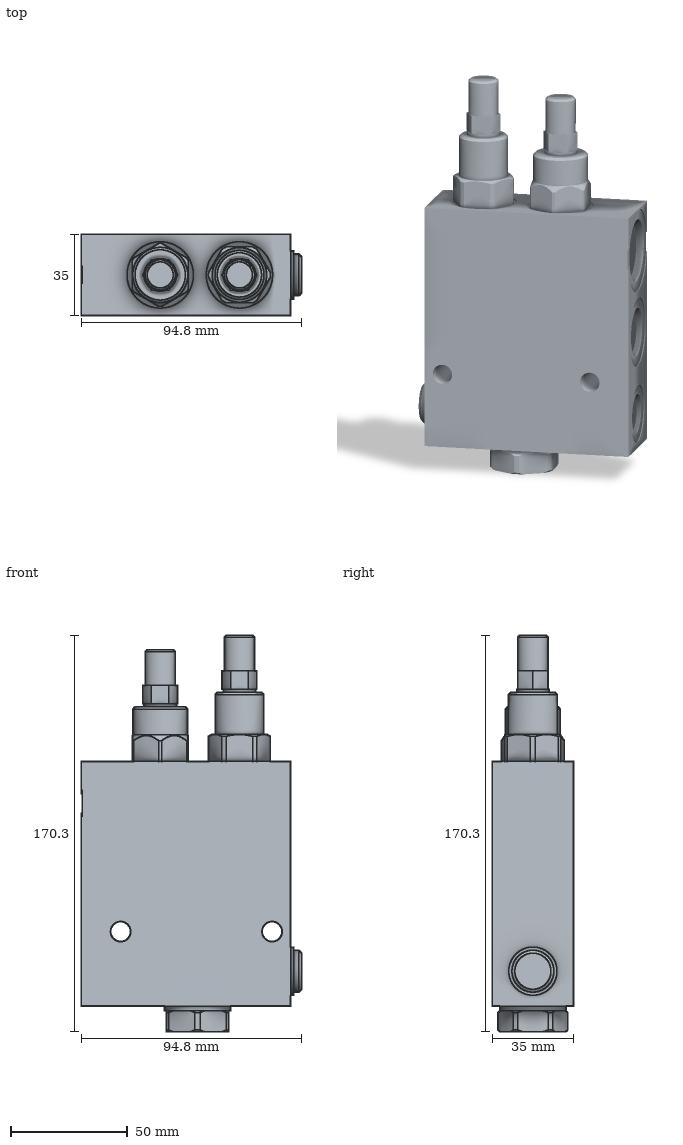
import cadquery as cq
import math

BLOCK_LENGTH = 90
BLOCK_WIDTH = 35
BLOCK_HEIGHT = 105

MOUNT_HOLE_DIAMETER = 8.5
MOUNT_HOLE_XS = (17, 82)
MOUNT_HOLE_Z = 32

PORTS = (
    dict(z=87, spotface=36, mouth=27, floor=24.5, depth=3.6),
    dict(z=51, spotface=30, mouth=21, floor=18.6, depth=2.8),
    dict(z=15, spotface=25, mouth=17, floor=15.1, depth=2.3),
)
SPOTFACE_DEPTH = 0.5

FLATS_FACE_Y = 0
FLATS_FACE_X = 30

CARTRIDGE_SEAT_DIAMETER = 28.5
CARTRIDGE_SEAT_DEPTH = 0.5
CARTRIDGE_HEX_FLATS = 24
NECK_DIAMETER = 14
NECK_HEIGHT = 1.3
LOCKNUT_FLATS = 13
LOCKNUT_HEIGHT = 7.9
STUD_DIAMETER = 13
STUD_CHAMFER = 0.9
BARREL_CHAMFER = 1.0

SHORT_CARTRIDGE = dict(
    x=34, hex_round=27, hex_height=11.4, cone_top=23.6, cone_height=2.5, hex_turn=FLATS_FACE_X,
    barrel=23.6, barrel_top=23.5, height=48,
)
TALL_CARTRIDGE = dict(
    x=68, hex_round=26.6, hex_height=11.7, cone_top=23.4, cone_height=0.9, hex_turn=FLATS_FACE_Y,
    barrel=21, barrel_top=29.7, height=54.25,
)

BOTTOM_PLUG_X = 50
BOTTOM_PLUG_COLLAR_DIAMETER = 28.5
BOTTOM_PLUG_COLLAR_HEIGHT = 2
BOTTOM_PLUG_HEX_FLATS = 27
BOTTOM_PLUG_HEX_ROUND = 30
BOTTOM_PLUG_HEIGHT = 11
BOTTOM_PLUG_CHAMFER = 0.8

SIDE_PLUG_Z = 15
SIDE_PLUG_FLANGE_DIAMETER = 20.7
SIDE_PLUG_FLANGE_HEIGHT = 1.4
SIDE_PLUG_DIAMETER = 18
SIDE_PLUG_LENGTH = 4.75
SIDE_PLUG_CHAMFER = 1.25


def cylinder(diameter, bottom, top):
    """Vertical cylinder on the Z axis between two heights."""
    return cq.Workplane("XY").workplane(offset=bottom).circle(diameter / 2).extrude(top - bottom)


def hexagon(across_flats, bottom, top, turn):
    """Vertical hexagonal prism, turned about its axis by the given angle."""
    corner_diameter = across_flats / math.cos(math.radians(30))
    prism = cq.Workplane("XY").workplane(offset=bottom).polygon(6, corner_diameter).extrude(top - bottom)
    return prism.rotate((0, 0, 0), (0, 0, 1), turn)


def coned_cylinder(diameter, end_diameter, cone_height, bottom, top):
    """Vertical cylinder narrowing to end_diameter at its top."""
    profile = [
        (0, bottom),
        (diameter / 2, bottom),
        (diameter / 2, top - cone_height),
        (end_diameter / 2, top),
        (0, top),
    ]
    return cq.Workplane("XZ").polyline(profile).close().revolve(360, (0, 0, 0), (0, 1, 0))


def make_block():
    """Rectangular block with its two mounting holes."""
    block = cq.Workplane("XY").box(
        BLOCK_LENGTH, BLOCK_WIDTH, BLOCK_HEIGHT, centered=(False, True, False)
    )
    hole_points = [(x, MOUNT_HOLE_Z) for x in MOUNT_HOLE_XS]
    holes = (
        cq.Workplane("XZ")
        .pushPoints(hole_points)
        .circle(MOUNT_HOLE_DIAMETER / 2)
        .extrude(BLOCK_WIDTH, both=True)
    )
    return block.cut(holes)


def make_port(port):
    """Cutter for one port: shallow spotface, then a blind socket tapering to its floor, along +X."""
    spotface_radius = port["spotface"] / 2
    profile = [
        (0, 0),
        (0, spotface_radius),
        (SPOTFACE_DEPTH, spotface_radius),
        (SPOTFACE_DEPTH, port["mouth"] / 2),
        (port["depth"], port["floor"] / 2),
        (port["depth"], 0),
    ]
    cutter = cq.Workplane("XY").polyline(profile).close().revolve(360, (0, 0, 0), (1, 0, 0))
    return cutter.translate((0, 0, port["z"]))


def make_cartridge(spec):
    """Cartridge with hex, barrel, neck, locknut and stud, standing on a shallow seat."""
    neck_top = spec["barrel_top"] + NECK_HEIGHT
    locknut_top = neck_top + LOCKNUT_HEIGHT
    base = -CARTRIDGE_SEAT_DEPTH

    body = hexagon(CARTRIDGE_HEX_FLATS, base, spec["hex_height"], spec["hex_turn"])
    body = body.intersect(
        coned_cylinder(
            spec["hex_round"], spec["cone_top"], spec["cone_height"], base, spec["hex_height"]
        )
    )
    barrel = cylinder(spec["barrel"], base, spec["barrel_top"]).faces(">Z").chamfer(BARREL_CHAMFER)
    neck = cylinder(NECK_DIAMETER, base, neck_top)
    locknut = hexagon(LOCKNUT_FLATS, neck_top, locknut_top, FLATS_FACE_Y)
    stud = cylinder(STUD_DIAMETER, base, spec["height"]).faces(">Z").chamfer(STUD_CHAMFER)
    for piece in (barrel, neck, locknut, stud):
        body = body.union(piece)
    return body.translate((spec["x"], 0, BLOCK_HEIGHT))


def make_cartridge_seat(spec):
    """Cutter for the shallow round seat under a cartridge."""
    seat = cylinder(CARTRIDGE_SEAT_DIAMETER, -CARTRIDGE_SEAT_DEPTH, 0)
    return seat.translate((spec["x"], 0, BLOCK_HEIGHT))


def make_bottom_plug():
    """Round collar and chamfered hex head hanging below the block."""
    collar = cylinder(BOTTOM_PLUG_COLLAR_DIAMETER, -BOTTOM_PLUG_COLLAR_HEIGHT, 0)
    hex_span = (-BOTTOM_PLUG_HEIGHT, -BOTTOM_PLUG_COLLAR_HEIGHT)
    head = hexagon(BOTTOM_PLUG_HEX_FLATS, *hex_span, FLATS_FACE_X)
    envelope = cylinder(BOTTOM_PLUG_HEX_ROUND, *hex_span).faces("|Z").chamfer(BOTTOM_PLUG_CHAMFER)
    head = head.intersect(envelope)
    return collar.union(head).translate((BOTTOM_PLUG_X, 0, 0))


def make_side_plug():
    """Round flanged plug with a chamfered end, on the right face."""
    flange = cylinder(SIDE_PLUG_FLANGE_DIAMETER, 0, SIDE_PLUG_FLANGE_HEIGHT)
    body = cylinder(SIDE_PLUG_DIAMETER, 0, SIDE_PLUG_LENGTH).faces(">Z").chamfer(SIDE_PLUG_CHAMFER)
    plug = flange.union(body).rotate((0, 0, 0), (0, 1, 0), 90)
    return plug.translate((BLOCK_LENGTH, 0, SIDE_PLUG_Z))


result = make_block()
for port in PORTS:
    result = result.cut(make_port(port))
for cartridge in (SHORT_CARTRIDGE, TALL_CARTRIDGE):
    result = result.cut(make_cartridge_seat(cartridge)).union(make_cartridge(cartridge))
result = result.union(make_bottom_plug()).union(make_side_plug())